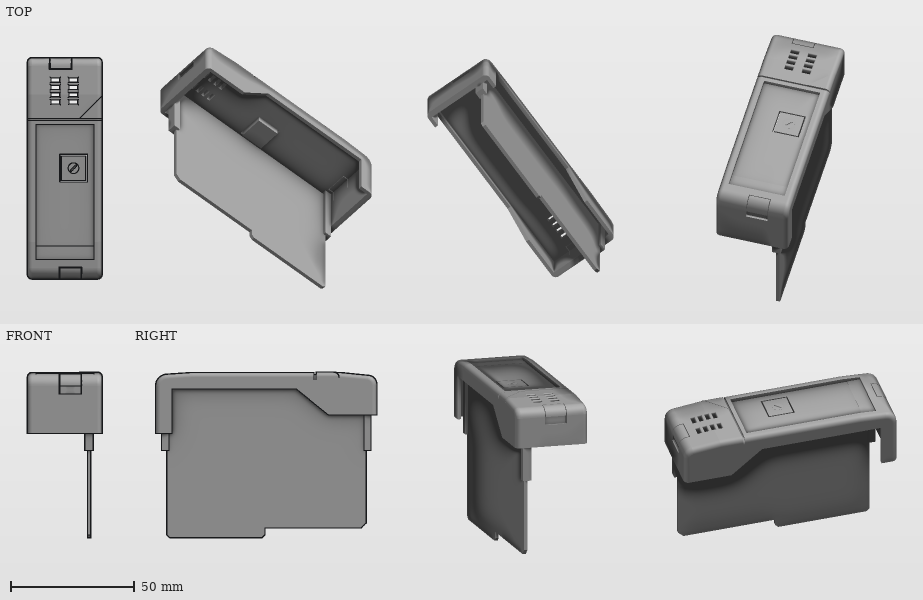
import cadquery as cq
import math


WIDTH = 30.5
LENGTH = 90.0
TOP_Z = 67.2
FRONT_RIM_Z = 42.3
REAR_RIM_Z = 49.9
SIDE_RADIUS = 2.1

FRONT_SLOPE_Y = 15.1
FRONT_SLOPE_ANGLE = 3.9
FRONT_RADIUS = 4.9
REAR_SLOPE_Y = 74.8
REAR_SLOPE_ANGLE = 5.7
REAR_RADIUS = 3.9

OPENING_FRONT_Y = 6.75
OPENING_TOP_Z = 60.4
OPENING_TOP_REAR_Y = 57.2
OPENING_BOTTOM_REAR_Y = 70.2

END_WALL = 2.4
SIDE_WALL = 1.4
CEILING = 3.6

GROOVE_FRONT_Y = 64.4
GROOVE_WIDTH = 0.8
GROOVE_DEPTH = 0.8

CORNER_RAISE = 0.2
CORNER_LEG = 9.3

WINDOW_LEFT_X = 3.5
WINDOW_RIGHT_X = 27.1
WINDOW_FRONT_Y = 8.0
WINDOW_STRIP_REAR_Y = 13.5
WINDOW_REAR_Y = 62.8
WINDOW_DEPTH = 1.6
WINDOW_STRIP_RAISE = 0.1

LIGHT_COLUMNS_X = (11.4, 18.7)
LIGHT_REAR_Y = 80.8
LIGHT_PITCH = 3.0
LIGHT_ROWS = 4
LIGHT_WIDTH = 3.4
LIGHT_LENGTH = 1.5
LIGHT_EDGE_RADIUS = 0.45

TAB_WIDTH = 9.2
TAB_SLIT = 0.3
TAB_FINGER_HEIGHT = 3.3
TAB_FINGER_DEPTH = 1.0
FRONT_TAB_X = 13.0
FRONT_TAB_REACH = 4.95
REAR_TAB_X = 9.0
REAR_TAB_REACH = 4.9

BOARD_X = 24.4
BOARD_THICKNESS = 1.4
BOARD_FRONT_Y = 4.6
BOARD_REAR_Y = 85.6
BOARD_TOP_Z = 62.1
BOARD_STEP_Y = 44.55
BOARD_STEP_Z = 4.0
BOARD_REAR_CHAMFER = 2.2
BOARD_CHAMFER = 1.3

RAIL_WIDTH = 3.6
RAIL_BOTTOM_Z = 35.5
RAIL_FRONT_LENGTH = 3.1
RAIL_REAR_LENGTH = 2.9

SWITCH_X = 18.8
SWITCH_Y = 45.1
SWITCH_SIZE = 10.1
SWITCH_GAP = 0.5
SWITCH_HEIGHT = 3.6
DIAL_RADIUS = 2.2
DIAL_RAISE = 0.1
DIAL_SLOT_LENGTH = 3.4
DIAL_SLOT_WIDTH = 0.6
DIAL_SLOT_DEPTH = 0.3
DIAL_SLOT_ANGLE = 45

CEILING_Z = TOP_Z - CEILING
WINDOW_FLOOR_Z = TOP_Z - WINDOW_DEPTH
GROOVE_REAR_Y = GROOVE_FRONT_Y + GROOVE_WIDTH


def box(x0, x1, y0, y1, z0, z1):
    return cq.Workplane("XY").box(x1 - x0, y1 - y0, z1 - z0, centered=False).translate((x0, y0, z0))


def side_prism(points, x0, x1):
    """Extrude a closed outline of (Y, Z) points from x0 to x1."""
    return cq.Workplane("YZ").polyline(points).close().extrude(x1 - x0).translate((x0, 0, 0))


def front_slope_z(y):
    return TOP_Z - (FRONT_SLOPE_Y - y) * math.tan(math.radians(FRONT_SLOPE_ANGLE))


def rear_slope_z(y):
    return TOP_Z - (y - REAR_SLOPE_Y) * math.tan(math.radians(REAR_SLOPE_ANGLE))


def end_round_drop(radius, angle):
    """Height from a sharp top corner down to where its rounding meets the vertical face."""
    return radius * math.tan(math.radians(90 - angle) / 2)


FRONT_ROUND_Z = front_slope_z(0) - end_round_drop(FRONT_RADIUS, FRONT_SLOPE_ANGLE)
REAR_ROUND_Z = rear_slope_z(LENGTH) - end_round_drop(REAR_RADIUS, REAR_SLOPE_ANGLE)


def make_envelope():
    """Solid outer form with rounded corners, before the side walls and the inside are opened."""
    outline = [
        (0, FRONT_RIM_Z),
        (0, front_slope_z(0)),
        (FRONT_SLOPE_Y, TOP_Z),
        (REAR_SLOPE_Y, TOP_Z),
        (LENGTH, rear_slope_z(LENGTH)),
        (LENGTH, FRONT_RIM_Z),
    ]
    envelope = side_prism(outline, 0, WIDTH)
    envelope = envelope.faces("<Y").edges(">Z").fillet(FRONT_RADIUS)
    envelope = envelope.faces(">Y").edges(">Z").fillet(REAR_RADIUS)
    side_edges = envelope.faces("<X or >X").edges("not <Z")
    return envelope.newObject(side_edges.vals()).fillet(SIDE_RADIUS)


def make_side_opening():
    """Space below the housing walls, cut across the full width."""
    points = [
        (OPENING_FRONT_Y, FRONT_RIM_Z),
        (OPENING_FRONT_Y, OPENING_TOP_Z),
        (OPENING_TOP_REAR_Y, OPENING_TOP_Z),
        (OPENING_BOTTOM_REAR_Y, REAR_RIM_Z),
        (LENGTH, REAR_RIM_Z),
        (LENGTH, FRONT_RIM_Z),
    ]
    return side_prism(points, 0, WIDTH)


def make_cavity():
    """Hollow inside, open downward and closed by the ceiling and the walls."""
    return box(SIDE_WALL, WIDTH - SIDE_WALL, END_WALL, LENGTH - END_WALL, FRONT_RIM_Z, CEILING_Z)


def make_groove(envelope):
    """Groove whose floor repeats the top outline, lowered by the groove depth."""
    slab = box(0, WIDTH, GROOVE_FRONT_Y, GROOVE_REAR_Y, OPENING_TOP_Z, TOP_Z)
    return slab.cut(envelope.translate((0, 0, -GROOVE_DEPTH)))


def make_raised_corner(envelope):
    """Triangular patch of the top outline, lifted at the right front corner of the label panel."""
    triangle = [
        (WIDTH - CORNER_LEG, GROOVE_REAR_Y),
        (WIDTH, GROOVE_REAR_Y),
        (WIDTH, GROOVE_REAR_Y + CORNER_LEG),
    ]
    patch = cq.Workplane("XY").workplane(offset=OPENING_TOP_Z).polyline(triangle).close()
    patch = patch.extrude(TOP_Z + CORNER_RAISE - OPENING_TOP_Z)
    return envelope.translate((0, 0, CORNER_RAISE)).intersect(patch).cut(make_cavity())


def make_window():
    """Recess of the cover, with a slightly raised strip along its front end."""
    strip_z = WINDOW_FLOOR_Z + WINDOW_STRIP_RAISE
    left, right = WINDOW_LEFT_X, WINDOW_RIGHT_X
    main = box(left, right, WINDOW_STRIP_REAR_Y, WINDOW_REAR_Y, WINDOW_FLOOR_Z, TOP_Z)
    strip = box(left, right, WINDOW_FRONT_Y, WINDOW_STRIP_REAR_Y, strip_z, TOP_Z)
    return main.union(strip)


def cut_light_openings(housing):
    """Cut the grid of indicator openings through the ceiling and round their upper edges."""
    margin = 0.1
    for x in LIGHT_COLUMNS_X:
        for row in range(LIGHT_ROWS):
            y = LIGHT_REAR_Y - row * LIGHT_PITCH
            x0, x1 = x - LIGHT_WIDTH / 2, x + LIGHT_WIDTH / 2
            y0, y1 = y - LIGHT_LENGTH / 2, y + LIGHT_LENGTH / 2
            housing = housing.cut(box(x0, x1, y0, y1, CEILING_Z, TOP_Z))
            upper_edges = cq.selectors.BoxSelector(
                (x0 - margin, y0 - margin, rear_slope_z(LENGTH)),
                (x1 + margin, y1 + margin, TOP_Z + margin),
                boundingbox=True,
            )
            housing = housing.edges(upper_edges).fillet(LIGHT_EDGE_RADIUS)
    return housing


def make_tab_cut(left_x, reach, round_z):
    """Slits around a latch tab at the front end and the finger recess below its rounding."""
    right_x = left_x + TAB_WIDTH
    bottom_z = round_z - TAB_FINGER_HEIGHT
    cut = box(left_x, right_x, 0, TAB_FINGER_DEPTH, bottom_z, round_z)
    for slit_x in (left_x, right_x - TAB_SLIT):
        cut = cut.union(box(slit_x, slit_x + TAB_SLIT, 0, reach, bottom_z, TOP_Z))
    return cut.union(box(left_x, right_x, reach - TAB_SLIT, reach, CEILING_Z, TOP_Z))


def make_rail(y0, y1):
    """Rail centered on the board; the board is later cut out of it to leave the holding slot."""
    center_x = BOARD_X + BOARD_THICKNESS / 2
    return box(center_x - RAIL_WIDTH / 2, center_x + RAIL_WIDTH / 2, y0, y1, RAIL_BOTTOM_Z, CEILING_Z)


def make_housing(board):
    """Hollow cover that carries all openings and the two rails gripping the board."""
    envelope = make_envelope()
    housing = envelope.cut(make_side_opening()).cut(make_cavity())
    housing = housing.cut(make_groove(envelope)).union(make_raised_corner(envelope))
    housing = housing.cut(make_window())

    half_hole = SWITCH_SIZE / 2 + SWITCH_GAP
    housing = housing.cut(box(
        SWITCH_X - half_hole, SWITCH_X + half_hole,
        SWITCH_Y - half_hole, SWITCH_Y + half_hole,
        CEILING_Z, TOP_Z,
    ))

    housing = cut_light_openings(housing)

    housing = housing.cut(make_tab_cut(FRONT_TAB_X, FRONT_TAB_REACH, FRONT_ROUND_Z))
    rear_cut = make_tab_cut(REAR_TAB_X, REAR_TAB_REACH, REAR_ROUND_Z)
    housing = housing.cut(rear_cut.mirror("XZ", (0, LENGTH / 2, 0)))

    rear_inside_y = LENGTH - END_WALL
    housing = housing.union(make_rail(END_WALL, END_WALL + RAIL_FRONT_LENGTH))
    housing = housing.union(make_rail(rear_inside_y - RAIL_REAR_LENGTH, rear_inside_y))
    return housing.cut(board)


def make_board():
    """Stepped circuit board with clipped lower corners."""
    outline = [
        (BOARD_FRONT_Y, BOARD_TOP_Z),
        (BOARD_FRONT_Y, BOARD_CHAMFER),
        (BOARD_FRONT_Y + BOARD_CHAMFER, 0),
        (BOARD_STEP_Y - BOARD_CHAMFER, 0),
        (BOARD_STEP_Y, BOARD_CHAMFER),
        (BOARD_STEP_Y, BOARD_STEP_Z),
        (BOARD_REAR_Y - BOARD_REAR_CHAMFER, BOARD_STEP_Z),
        (BOARD_REAR_Y, BOARD_STEP_Z + BOARD_REAR_CHAMFER),
        (BOARD_REAR_Y, BOARD_TOP_Z),
    ]
    return side_prism(outline, BOARD_X, BOARD_X + BOARD_THICKNESS)


def make_switch():
    """Square switch, flush with the window floor, with a slotted dial on top."""
    block = cq.Workplane("XY").rect(SWITCH_SIZE, SWITCH_SIZE).extrude(-SWITCH_HEIGHT)
    dial = cq.Workplane("XY").circle(DIAL_RADIUS).extrude(DIAL_RAISE)
    slot = cq.Workplane("XY").workplane(offset=DIAL_RAISE)
    slot = slot.slot2D(DIAL_SLOT_LENGTH, DIAL_SLOT_WIDTH, DIAL_SLOT_ANGLE).extrude(-DIAL_SLOT_DEPTH)
    return block.union(dial).cut(slot).translate((SWITCH_X, SWITCH_Y, WINDOW_FLOOR_Z))


board = make_board()
housing = make_housing(board)
switch = make_switch()

result = cq.Compound.makeCompound([housing.solids().val(), board.solids().val(), switch.solids().val()])